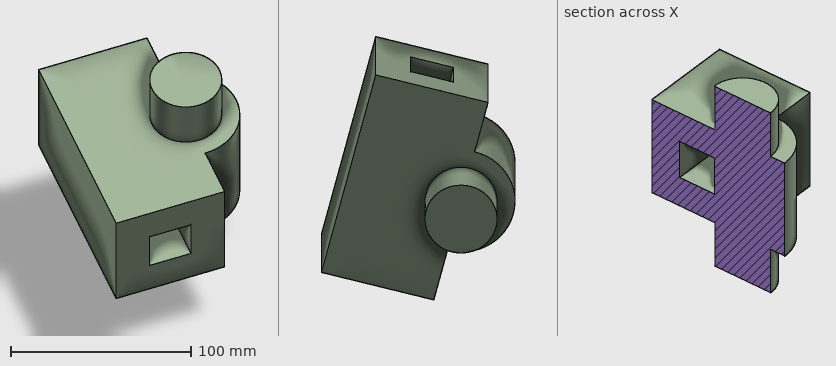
import cadquery as cq

block_length = 120.0
block_side = 64.5
shaft_length = 124.5
shaft_diameter = 40.0
boss_radius = 30.0
wall = shaft_diameter / 2
window_side = block_side - 2 * wall

block_center_y = -block_side / 2


def centered_cylinder(radius, height):
    """Cylinder on the Z axis, centred about the XY plane."""
    return cq.Workplane("XY").cylinder(height, radius)


def bar_along_x(side):
    """Square bar of the block's length, centred on the block."""
    return cq.Workplane("XY").box(block_length, side, side).translate((0, block_center_y, 0))


block = bar_along_x(block_side)
boss = centered_cylinder(boss_radius, block_side)
shaft = centered_cylinder(shaft_diameter / 2, shaft_length)

window = bar_along_x(window_side)

result = block.union(boss).union(shaft).cut(window)